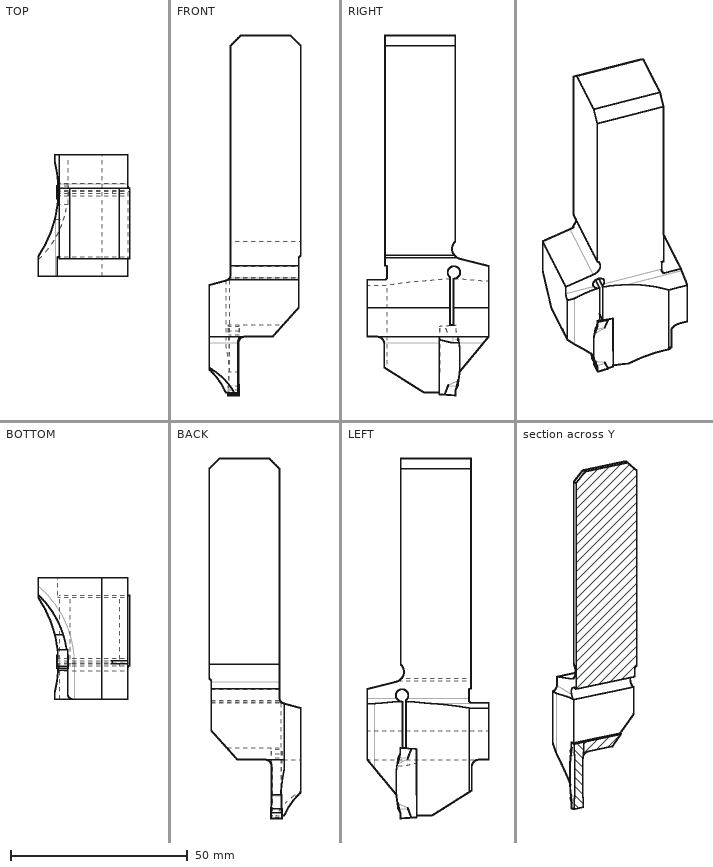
import cadquery as cq
import math


SHANK_SIDE = 20.0
TOTAL_HEIGHT = 101.8
TOP_CHAMFER = 3.0
RELIEF = 0.6
SIDE_RELIEF_TOP = 39.6
FRONT_RELIEF_TOP = 36.6

HEAD_LEFT = -6.0
HEAD_FRONT = -5.0
HEAD_BACK = 29.4
HEAD_BOTTOM = 16.7
HEAD_LEFT_TOP = 31.2
HEAD_SLOPE = math.radians(15)
HEAD_FILLET = 1.5
HEAD_CHAMFER_X = 7.3
HEAD_CHAMFER_Z = 8.1
LEDGE_TOP = 32.8
LEDGE_FILLET = 0.5
BACK_SHOULDER = 36.6
BACK_SLOPE = math.radians(14)
NOTCH_RADIUS = 2.9
NOTCH_Y = 21.9

BLADE_FRONT = -0.2
BLADE_RIGHT = 2.3
BLADE_FRONT_BOTTOM = 7.9
BLADE_BOTTOM = 0.8
BLADE_SLOPE_END_Y = 11.1
BLADE_FILLET = 1.8
JAW_TIP_Z = 6.7
GROOVE_RADIUS = 33.1
GROOVE_DEEPEST_X = -0.3
GROOVE_FRONT_Y = 0.6
GROOVE_BACK_Y = 27.4

HOLE_RADIUS = 1.7
HOLE_Y = 19.5
HOLE_Z = 34.8
SLOT_WIDTH = 0.9
SLOT_Y = 18.9

INSERT_LENGTH = 20.0
INSERT_FRONT = 15.4
INSERT_BACK = 21.2
INSERT_LEFT = -0.5
INSERT_RIGHT = BLADE_RIGHT
END_RELIEF = 0.3
TIP_OVERHANG = 0.15
RAKE_DROP = 0.5
EDGE_DROP = 1.1
EDGE_LENGTH = 1.6
CHIP_FACE_LENGTH = 2.7
CHIP_RAMP_LENGTH = 6.4
TIP_FOOT_Y = 16.9
TIP_ROOT_Y = 17.9
TIP_RAMP_FRONT = 3.1
TIP_RAMP_BACK = 4.3

INSERT_EDGE_Y = INSERT_BACK - EDGE_DROP
INSERT_RAKE_Y = INSERT_BACK - RAKE_DROP
HEAD_RIGHT = SHANK_SIDE - RELIEF
HEAD_DEPTH = HEAD_BACK - HEAD_FRONT
SELECTION_MARGIN = 0.1


def extrude_along_x(outline, left, right):
    """Extrude a (Y, Z) outline between two X positions."""
    return outline.extrude(right - left).translate((left, 0, 0))


def side_profile():
    """Silhouette of shank and head in the XZ plane, as deep as the head."""
    corner_z = HEAD_LEFT_TOP - HEAD_LEFT * math.tan(HEAD_SLOPE)
    mid_angle = (math.pi / 2 - HEAD_SLOPE) / 2
    tangent = HEAD_FILLET * math.tan(mid_angle)
    slope_end = (-tangent * math.cos(HEAD_SLOPE), corner_z - tangent * math.sin(HEAD_SLOPE))
    fillet_top = corner_z + tangent
    fillet_mid = (
        -HEAD_FILLET + HEAD_FILLET * math.cos(mid_angle),
        fillet_top - HEAD_FILLET * math.sin(mid_angle),
    )
    return (
        cq.Workplane("XZ", origin=(0, HEAD_BACK, 0))
        .moveTo(HEAD_LEFT, HEAD_BOTTOM)
        .lineTo(HEAD_LEFT, HEAD_LEFT_TOP)
        .lineTo(*slope_end)
        .threePointArc(fillet_mid, (0, fillet_top))
        .lineTo(0, TOTAL_HEIGHT - TOP_CHAMFER)
        .lineTo(TOP_CHAMFER, TOTAL_HEIGHT)
        .lineTo(SHANK_SIDE - TOP_CHAMFER, TOTAL_HEIGHT)
        .lineTo(SHANK_SIDE, TOTAL_HEIGHT - TOP_CHAMFER)
        .lineTo(SHANK_SIDE, SIDE_RELIEF_TOP)
        .lineTo(HEAD_RIGHT, SIDE_RELIEF_TOP - RELIEF)
        .lineTo(HEAD_RIGHT, HEAD_BOTTOM + HEAD_CHAMFER_Z)
        .lineTo(HEAD_RIGHT - HEAD_CHAMFER_X, HEAD_BOTTOM)
        .close()
        .extrude(HEAD_DEPTH)
    )


def depth_profile():
    """Silhouette of shank and head in the YZ plane, as wide as the whole part."""
    notch_side = math.acos((NOTCH_Y - SHANK_SIDE) / NOTCH_RADIUS)
    end_y = NOTCH_Y - NOTCH_RADIUS * math.sin(BACK_SLOPE)
    end_z = BACK_SHOULDER + (HEAD_BACK - end_y) * math.tan(BACK_SLOPE)
    notch_z = end_z + NOTCH_RADIUS * math.cos(BACK_SLOPE)
    notch_start = (SHANK_SIDE, notch_z + NOTCH_RADIUS * math.sin(notch_side))
    outline = (
        cq.Workplane("YZ")
        .moveTo(HEAD_FRONT, HEAD_BOTTOM)
        .lineTo(HEAD_FRONT, LEDGE_TOP)
        .lineTo(RELIEF - LEDGE_FILLET, LEDGE_TOP)
        .radiusArc((RELIEF, LEDGE_TOP + LEDGE_FILLET), -LEDGE_FILLET)
        .lineTo(RELIEF, FRONT_RELIEF_TOP)
        .lineTo(0, FRONT_RELIEF_TOP)
        .lineTo(0, TOTAL_HEIGHT)
        .lineTo(SHANK_SIDE, TOTAL_HEIGHT)
        .lineTo(*notch_start)
        .threePointArc((NOTCH_Y - NOTCH_RADIUS, notch_z), (end_y, end_z))
        .lineTo(HEAD_BACK, BACK_SHOULDER)
        .lineTo(HEAD_BACK, HEAD_BOTTOM)
        .close()
    )
    return extrude_along_x(outline, HEAD_LEFT, SHANK_SIDE)


def groove_center():
    """Axis of the concave face: it passes through the front edge of the groove."""
    center_x = GROOVE_DEEPEST_X - GROOVE_RADIUS
    reach = HEAD_LEFT - center_x
    return center_x, GROOVE_FRONT_Y + math.sqrt(GROOVE_RADIUS**2 - reach**2)


def blade():
    """Thin curved blade under the head, before its edges are trimmed."""
    widest_y = groove_center()[1]
    chord_y = widest_y - BLADE_FRONT
    chord_x = BLADE_RIGHT - HEAD_LEFT
    back_radius = (chord_x**2 + chord_y**2) / (2 * chord_x)
    return (
        cq.Workplane("XY")
        .moveTo(HEAD_LEFT, BLADE_FRONT)
        .radiusArc((BLADE_RIGHT, widest_y), -back_radius)
        .lineTo(BLADE_RIGHT, HEAD_BACK)
        .lineTo(HEAD_LEFT, HEAD_BACK)
        .close()
        .extrude(HEAD_BOTTOM)
    )


def holder_envelope():
    """Space inside the lower side outline of the holder, open upward past the whole shank."""
    outline = cq.Workplane("YZ").polyline([
        (HEAD_FRONT, TOTAL_HEIGHT),
        (HEAD_FRONT, BLADE_FRONT_BOTTOM),
        (BLADE_FRONT, BLADE_FRONT_BOTTOM),
        (BLADE_SLOPE_END_Y, BLADE_BOTTOM),
        (INSERT_FRONT, BLADE_BOTTOM),
        (INSERT_FRONT, JAW_TIP_Z),
        (INSERT_BACK, JAW_TIP_Z),
        (HEAD_BACK, HEAD_BOTTOM),
        (HEAD_BACK, TOTAL_HEIGHT),
    ]).close()
    return extrude_along_x(outline, HEAD_LEFT, SHANK_SIDE)


def groove_clearance():
    """Space in front of the concave -X face of the head and blade."""
    center_x, center_y = groove_center()
    flat_x = center_x + math.sqrt(GROOVE_RADIUS**2 - (GROOVE_BACK_Y - center_y)**2)
    return (
        cq.Workplane("XY")
        .moveTo(HEAD_LEFT, GROOVE_FRONT_Y)
        .threePointArc((GROOVE_DEEPEST_X, center_y), (flat_x, GROOVE_BACK_Y))
        .lineTo(flat_x, HEAD_BACK)
        .lineTo(HEAD_LEFT, HEAD_BACK)
        .close()
        .extrude(TOTAL_HEIGHT)
    )


def clamping_slot():
    """Round hole and narrow slot that let the jaw flex onto the insert."""
    hole = cq.Workplane("YZ").center(HOLE_Y, HOLE_Z).circle(HOLE_RADIUS)
    slot_height = HOLE_Z - INSERT_LENGTH
    slot_middle_z = INSERT_LENGTH + slot_height / 2
    slot = cq.Workplane("YZ").center(SLOT_Y, slot_middle_z).rect(SLOT_WIDTH, slot_height)
    round_end = extrude_along_x(hole, HEAD_LEFT, SHANK_SIDE)
    return round_end.union(extrude_along_x(slot, HEAD_LEFT, SHANK_SIDE))


def tip_outline(front_length, back_length):
    """(Y, Z) corners of a widened tip whose inner side ends at the given lengths."""
    foot_z = END_RELIEF * (INSERT_EDGE_Y - TIP_FOOT_Y) / (INSERT_EDGE_Y - INSERT_FRONT)
    return [
        (TIP_FOOT_Y, foot_z),
        (INSERT_EDGE_Y, 0),
        (INSERT_EDGE_Y, EDGE_LENGTH),
        (INSERT_RAKE_Y, back_length),
        (TIP_ROOT_Y, front_length),
    ]


def widened_tip(body_x, overhang):
    """Raised side of a cutting tip, standing out from the body face at body_x."""
    return (
        cq.Workplane("YZ", origin=(body_x, 0, 0))
        .polyline(tip_outline(TIP_RAMP_FRONT, TIP_RAMP_BACK))
        .close()
        .workplane(offset=overhang)
        .polyline(tip_outline(CHIP_FACE_LENGTH, CHIP_FACE_LENGTH))
        .close()
        .loft(ruled=True)
    )


def make_insert():
    """Double-ended cutting insert; the two ends are mirror images."""
    lower_end = [
        (INSERT_FRONT, END_RELIEF),
        (INSERT_EDGE_Y, 0),
        (INSERT_EDGE_Y, EDGE_LENGTH),
        (INSERT_RAKE_Y, CHIP_FACE_LENGTH),
        (INSERT_BACK, CHIP_RAMP_LENGTH),
    ]
    upper_end = [(y, INSERT_LENGTH - z) for y, z in reversed(lower_end)]
    outline = cq.Workplane("YZ").polyline(lower_end + upper_end).close()
    insert = extrude_along_x(outline, INSERT_LEFT, INSERT_RIGHT)
    for body_x, overhang in ((INSERT_LEFT, -TIP_OVERHANG), (INSERT_RIGHT, TIP_OVERHANG)):
        tip = widened_tip(body_x, overhang)
        opposite_tip = tip.mirror("XY").translate((0, 0, INSERT_LENGTH))
        insert = insert.union(tip).union(opposite_tip)
    return insert


def make_holder(insert):
    """Shank, head and blade in one piece, with a seat that matches the insert."""
    holder = side_profile().intersect(depth_profile()).union(blade())
    root = cq.selectors.BoxSelector(
        (HEAD_LEFT, BLADE_FRONT, HEAD_BOTTOM - SELECTION_MARGIN),
        (BLADE_RIGHT + SELECTION_MARGIN, HEAD_BACK - SELECTION_MARGIN, HEAD_BOTTOM + SELECTION_MARGIN),
    )
    holder = holder.edges(root).fillet(BLADE_FILLET)
    holder = holder.intersect(holder_envelope()).cut(groove_clearance())
    return holder.cut(clamping_slot()).cut(insert)


insert = make_insert()
holder = make_holder(insert)
result = cq.Compound.makeCompound([holder.val(), insert.val()])